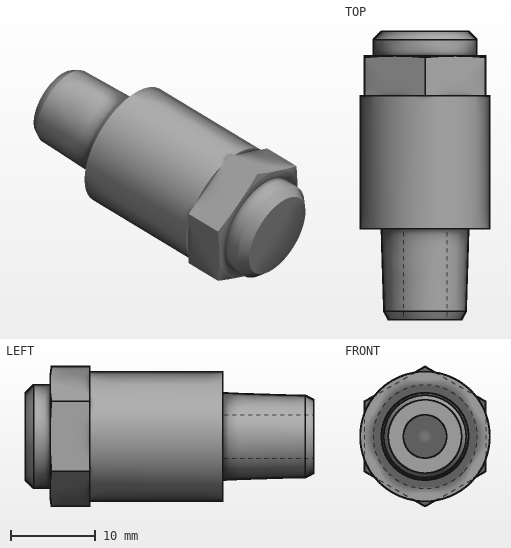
import cadquery as cq
import math

total_length = 34.0

stub_length = 10.7
stub_root_diameter = 10.3
stub_tip_diameter = 9.7
stub_end_diameter = 8.65
stub_chamfer_length = 1.0

body_diameter = 15.3
body_end = 26.4

hex_across_flats = 14.28
hex_across_corners = hex_across_flats / math.cos(math.pi / 6)
hex_end = 31.08
hex_chamfer_length = 0.17
hex_face_diameter = hex_across_flats

cap_diameter = 12.25
cap_chamfer = 1.0

bore_diameter = 5.1
bore_depth = stub_length


def revolve_profile(points):
    """Turn a closed (radius, y) profile about the Y axis."""
    return cq.Workplane("XY").polyline(points).close().revolve(360, (0, 0, 0), (0, 1, 0))


def make_turned_body():
    cap_radius = cap_diameter / 2
    return revolve_profile([
        (0, 0),
        (stub_end_diameter / 2, 0),
        (stub_tip_diameter / 2, stub_chamfer_length),
        (stub_root_diameter / 2, stub_length),
        (body_diameter / 2, stub_length),
        (body_diameter / 2, body_end),
        (cap_radius, body_end),
        (cap_radius, total_length - cap_chamfer),
        (cap_radius - cap_chamfer, total_length),
        (0, total_length),
    ])


def make_hex_collar():
    hexagon = (
        cq.Workplane("XZ", origin=(0, hex_end, 0))
        .transformed(rotate=(0, 0, 90))
        .polygon(6, hex_across_corners)
        .extrude(hex_end - body_end)
    )
    corner_radius = hex_across_corners / 2
    envelope = revolve_profile([
        (0, body_end),
        (corner_radius, body_end),
        (corner_radius, hex_end - hex_chamfer_length),
        (hex_face_diameter / 2, hex_end),
        (0, hex_end),
    ])
    return hexagon.intersect(envelope)


def make_bore():
    return cq.Workplane("XZ").circle(bore_diameter / 2).extrude(-bore_depth)


result = make_turned_body().union(make_hex_collar()).cut(make_bore())